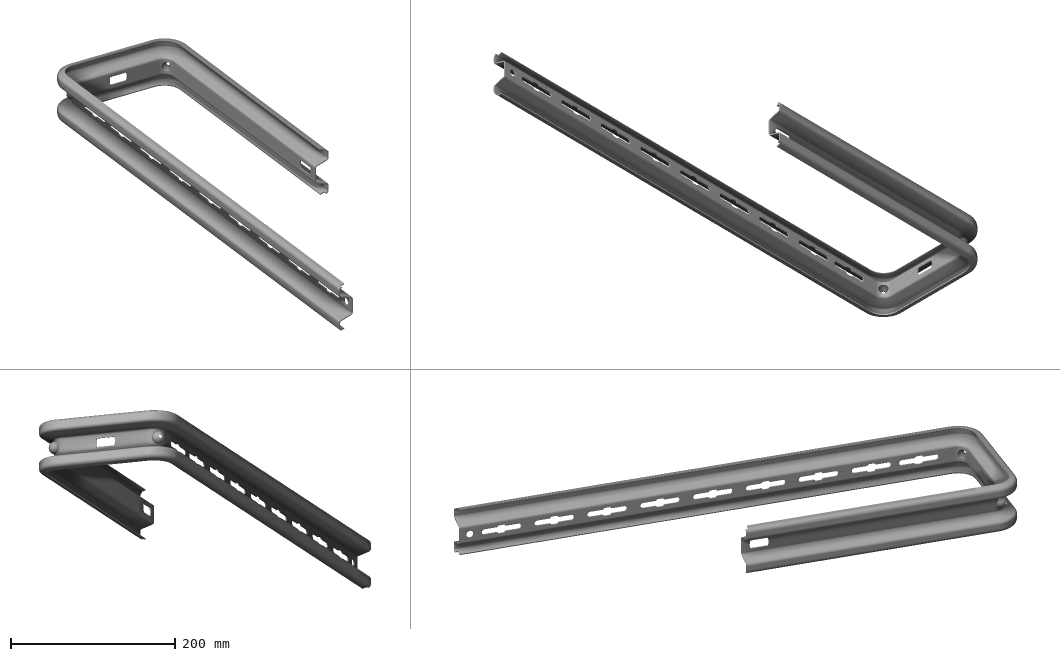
import cadquery as cq
import math

LONG_LEG = 674.0
SHORT_LEG = 360.0
SPAN = 180.0
HEIGHT = 63.43

SHEET = 1.5
WEB_DEPTH = 18.0
WEB_HALF_FLAT = 9.3
WEB_RADIUS = 2.0
LIP_NOSE_RADIUS = 5.0
WALL_NOSE_RADIUS = 4.0
LIP_DEPTH = 9.5
LIP_SLOPE = 15.0
WALL_SLOPE = 17.0
BEND_RADIUS = 32.0
LIP_SETBACK = 4.0

DOME_RADIUS = 8.0
DOME_HOLE_DIAMETER = 4.5

SLOT_LENGTH = 51.0
SLOT_WIDTH = 7.0
SLOT_BULGE_LENGTH = 13.0
SLOT_BULGE_HEIGHT = 11.0
END_HOLE_DIAMETER = 9.0
FIRST_SLOT_X = 78.5
SECOND_SLOT_X = 140.0
SLOT_PITCH = 68.5
PITCHED_SLOTS = 8
END_HOLE_INSET = 13.5
WIDE_SLOT_LENGTH = 25.0
WIDE_SLOT_HEIGHT = 11.0
WIDE_SLOT_INSET = 23.0

HALF_HEIGHT = HEIGHT / 2
WEB_INSIDE = WEB_DEPTH + SHEET
CUT_REACH = WEB_INSIDE + SHEET

LIP_SIN = math.sin(math.radians(LIP_SLOPE))
LIP_COS = math.cos(math.radians(LIP_SLOPE))
LIP_START = LIP_NOSE_RADIUS * (1 - LIP_SIN)
LIP_RISE = (LIP_DEPTH - LIP_START) * LIP_SIN / LIP_COS
UPPER_NOSE_Z = HALF_HEIGHT - LIP_NOSE_RADIUS * LIP_COS - LIP_RISE
WEB_ARC_DEPTH = WEB_DEPTH - WEB_RADIUS
WALL_SIN = math.sin(math.radians(WALL_SLOPE))
WALL_COS = math.cos(math.radians(WALL_SLOPE))
ARC_STEP = WEB_ARC_DEPTH - WALL_NOSE_RADIUS
WALL_RISE = (WALL_NOSE_RADIUS + WEB_RADIUS + ARC_STEP * WALL_SIN) / WALL_COS
LOWER_NOSE_Z = WEB_HALF_FLAT + WALL_RISE


def on_arc(centre, radius, degrees, side):
    """Point on an arc of the profile; side -1 mirrors it to the lower half."""
    angle = math.radians(degrees)
    depth = centre[0] + radius * math.cos(angle)
    z = centre[1] + radius * math.sin(angle)
    return (depth, side * z)


def skin(inset, side):
    """Lip end point, then (start, middle, end) of each arc down to the web.

    inset 0 is the outer skin of the sheet, inset SHEET is its inner skin.
    """
    lip_end = (LIP_DEPTH + inset * LIP_SIN, side * (HALF_HEIGHT - inset * LIP_COS))
    arcs = [
        ((LIP_NOSE_RADIUS, UPPER_NOSE_Z), LIP_NOSE_RADIUS - inset, 90 + LIP_SLOPE, 180),
        ((WALL_NOSE_RADIUS, LOWER_NOSE_Z), WALL_NOSE_RADIUS - inset, 180, 270 - WALL_SLOPE),
        ((WEB_ARC_DEPTH, WEB_HALF_FLAT), WEB_RADIUS + inset, 90 - WALL_SLOPE, 0),
    ]
    arc_points = []
    for centre, radius, start, end in arcs:
        angles = (start, (start + end) / 2, end)
        arc_points.append([on_arc(centre, radius, angle, side) for angle in angles])
    return lip_end, arc_points


def follow_skin(sketch, inset, first_side):
    """Draw one skin of the sheet from the lip on first_side to the other lip."""
    lip_end, arc_points = skin(inset, first_side)
    sketch = sketch.lineTo(*lip_end)
    for start, middle, end in arc_points:
        sketch = sketch.lineTo(*start).threePointArc(middle, end)
    lip_end, arc_points = skin(inset, -first_side)
    for start, middle, end in reversed(arc_points):
        sketch = sketch.lineTo(*end).threePointArc(middle, start)
    return sketch.lineTo(*lip_end)


def profile(plane, origin):
    """Closed section of the rail, with local x as depth and local y as Z."""
    last_corner = skin(SHEET, 1)[0]
    sketch = cq.Workplane(plane, origin=origin).moveTo(*last_corner)
    sketch = follow_skin(sketch, 0, 1)
    return follow_skin(sketch, SHEET, -1).close()


def straight_leg(length):
    """Leg along X on the Y = 0 side, from the bend to its trimmed end."""
    leg = profile("YZ", (BEND_RADIUS, 0, 0)).extrude(length - BEND_RADIUS)
    trim_width = WEB_INSIDE - LIP_START
    trim_height = HALF_HEIGHT - UPPER_NOSE_Z
    for side in (-1, 1):
        trim = cq.Workplane("XY").box(LIP_SETBACK, trim_width, trim_height)
        trim_centre = (
            length - LIP_SETBACK / 2,
            LIP_START + trim_width / 2,
            side * (UPPER_NOSE_Z + trim_height / 2),
        )
        leg = leg.cut(trim.translate(trim_centre))
    return leg


def domed_bend():
    """Quarter bend at the corner near the origin, with the pierced dome in its web."""
    axis_start = (BEND_RADIUS, 0)
    axis_end = (BEND_RADIUS, 1)
    bend = profile("XZ", (0, BEND_RADIUS, 0)).revolve(90, axis_start, axis_end)

    web_arc_radius = BEND_RADIUS - WEB_DEPTH - SHEET / 2
    dome_place = BEND_RADIUS - web_arc_radius / math.sqrt(2)
    outward = cq.Plane(
        origin=(dome_place, dome_place, 0), xDir=(1, -1, 0), normal=(-1, -1, 0)
    )
    outer_ball = cq.Workplane(outward).sphere(DOME_RADIUS)
    hollow = cq.Workplane(outward).sphere(DOME_RADIUS - SHEET)
    hole = cq.Workplane(outward).circle(DOME_HOLE_DIAMETER / 2).extrude(2 * DOME_RADIUS)
    inside_of_web = (
        cq.Workplane("XY")
        .center(BEND_RADIUS, BEND_RADIUS)
        .circle(BEND_RADIUS - WEB_INSIDE)
        .extrude(HALF_HEIGHT, both=True)
    )
    dome = outer_ball.cut(inside_of_web)
    return bend.union(dome).cut(hollow).cut(hole)


def to_far_side(body):
    """Mirror a body from the Y = 0 side to the Y = SPAN side."""
    return body.mirror("XZ").translate((0, SPAN, 0))


def flat_sided_hole(plane, length, height):
    """Cutter with flat top and bottom whose two ends lie on one circle."""
    bar = cq.Workplane(plane).rect(length, height).extrude(CUT_REACH, both=True)
    disc = cq.Workplane(plane).circle(length / 2).extrude(CUT_REACH, both=True)
    return bar.intersect(disc)


def wide_slot(plane):
    """Cutter for the wide slots of the short leg and the cross piece."""
    return flat_sided_hole(plane, WIDE_SLOT_LENGTH, WIDE_SLOT_HEIGHT)


def bulged_slot(x):
    """Long narrow slot, wider at its middle, through the web of a leg."""
    slot = cq.Workplane("XZ").slot2D(SLOT_LENGTH, SLOT_WIDTH).extrude(CUT_REACH, both=True)
    bulge = flat_sided_hole("XZ", SLOT_BULGE_LENGTH, SLOT_BULGE_HEIGHT)
    return slot.union(bulge).translate((x, 0, 0))


def end_hole():
    """Round hole cutter near the free end of the long leg."""
    hole = cq.Workplane("XZ").circle(END_HOLE_DIAMETER / 2).extrude(CUT_REACH, both=True)
    return hole.translate((LONG_LEG - END_HOLE_INSET, 0, 0))


def slotted_long_leg():
    """Long leg with its row of slots and its end hole."""
    leg = straight_leg(LONG_LEG)
    slot_places = [FIRST_SLOT_X]
    slot_places += [SECOND_SLOT_X + i * SLOT_PITCH for i in range(PITCHED_SLOTS)]
    for x in slot_places:
        leg = leg.cut(bulged_slot(x))
    return leg.cut(end_hole())


def short_leg():
    """Short leg on the Y = SPAN side, with one wide slot near its end."""
    slot = wide_slot("XZ").translate((SHORT_LEG - WIDE_SLOT_INSET, 0, 0))
    return to_far_side(straight_leg(SHORT_LEG).cut(slot))


def cross_piece():
    """Straight piece along Y that joins the two bends, with a central slot."""
    straight = profile("XZ", (0, SPAN - BEND_RADIUS, 0)).extrude(SPAN - 2 * BEND_RADIUS)
    slot = wide_slot("YZ").translate((0, SPAN / 2, 0))
    return straight.cut(slot)


near_bend = domed_bend()
result = (
    slotted_long_leg()
    .union(near_bend)
    .union(cross_piece())
    .union(to_far_side(near_bend))
    .union(short_leg())
)